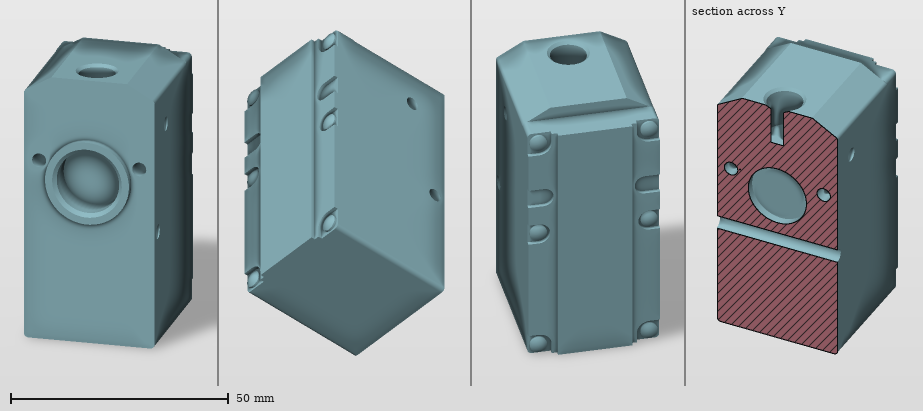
import cadquery as cq
import math

width = 31.05
height = 64.0
half_width = width / 2
corner_radius = 1.0

housing_depth = 28.0
crown_width = 18.0
shoulder_angle = 30.0

cover_depth = 6.0
cover_height = 60.85
pad_width = 17.5
pad_thickness = 1.0
cover_back = housing_depth + cover_depth

port_height = 39.55
collar_diameter = 20.0
collar_length = 2.0
port_diameter = 14.85
port_mouth_diameter = 16.6
port_depth = 5.0

top_port_y = 7.0
top_port_diameter = 8.5
top_port_mouth_diameter = 9.85
top_port_depth = 10.0

small_hole_diameter = 3.3
pin_hole_offset = 11.9
pin_hole_height = 43.45
pin_hole_depth = 6.0
cross_holes = [(10.0, 51.45), (3.0, 27.5)]

recess_depth = 1.0
corner_recess_radius = 3.0
middle_recess_radius = 2.6
plain_recess_radius = 2.4

screw_inset = 2.5
screw_offset = half_width - screw_inset
middle_screw_height = 33.55
screw_diameter = 4.0
screw_rim = 0.6
screw_height = 1.3


def make_housing():
    """Block with sloped shoulders; its four long side edges are rounded."""
    crown_half = crown_width / 2
    shoulder_z = height - (half_width - crown_half) * math.tan(math.radians(shoulder_angle))
    block = (
        cq.Workplane("XZ")
        .moveTo(-half_width, 0)
        .lineTo(half_width, 0)
        .lineTo(half_width, shoulder_z)
        .lineTo(crown_half, height)
        .lineTo(-crown_half, height)
        .lineTo(-half_width, shoulder_z)
        .close()
        .extrude(-housing_depth)
    )
    side_edges = block.faces("<X or >X").edges("|Y")
    return block.newObject(side_edges.vals()).fillet(corner_radius)


def make_cover():
    """Rounded rectangular plate with a full-height pad on its back."""
    plate = (
        cq.Workplane("XY")
        .box(width, cover_depth, cover_height, centered=(True, False, False))
        .edges("|Y")
        .fillet(corner_radius)
    )
    pad = cq.Workplane("XY").box(
        pad_width, cover_depth + pad_thickness, cover_height, centered=(True, False, False)
    )
    return plate.union(pad).translate((0, housing_depth, 0))


def along_y(diameter, x, z, start, end):
    """Cylinder parallel to Y."""
    axis = cq.Vector(0, 1, 0)
    return cq.Workplane(cq.Solid.makeCylinder(diameter / 2, end - start, cq.Vector(x, start, z), axis))


def mouth_cone(mouth_diameter, bore_diameter, origin, direction):
    """45 degree countersink leading into a bore."""
    depth = (mouth_diameter - bore_diameter) / 2
    cone = cq.Solid.makeCone(
        mouth_diameter / 2, bore_diameter / 2, depth, cq.Vector(*origin), cq.Vector(*direction)
    )
    return cq.Workplane(cone)


def side_recess(side, z, end_radius, center_offset):
    """Round-ended slot running from center_offset out through one side of the cover."""
    recess_floor = cover_back - recess_depth
    end = along_y(2 * end_radius, side * center_offset, z, recess_floor, cover_back)
    channel = cq.Workplane("XY").box(half_width, recess_depth, 2 * end_radius).translate(
        (side * (center_offset + half_width / 2), recess_floor + recess_depth / 2, z)
    )
    return end.union(channel)


def corner_recess(side, z, outward):
    """Side recess that also opens through the top (outward = 1) or bottom (-1) of the cover."""
    reach = screw_inset + corner_recess_radius
    opening_height = 2 * screw_inset
    opening = cq.Workplane("XY").box(reach, recess_depth, opening_height).translate((
        side * (half_width - reach / 2),
        cover_back - recess_depth / 2,
        z + outward * opening_height / 2,
    ))
    return side_recess(side, z, corner_recess_radius, screw_offset).union(opening)


def make_screw(x, z):
    """Screw head: a cylindrical rim under a shallow dome, standing on the recess floor."""
    radius = screw_diameter / 2
    rise = screw_height - screw_rim
    sphere_radius = (radius**2 + rise**2) / (2 * rise)
    mid_angle = math.asin(radius / sphere_radius) / 2
    mid_drop = sphere_radius * (1 - math.cos(mid_angle))
    head = (
        cq.Workplane("XY")
        .lineTo(radius, 0)
        .lineTo(radius, screw_rim)
        .threePointArc(
            (sphere_radius * math.sin(mid_angle), screw_height - mid_drop), (0, screw_height)
        )
        .close()
        .revolve(360, (0, 0), (0, 1))
    )
    return head.translate((x, cover_back - recess_depth, z))


body = make_housing().union(make_cover())

body = body.union(along_y(collar_diameter, 0, port_height, -collar_length, 0))
body = body.cut(along_y(port_diameter, 0, port_height, -collar_length, port_depth))
body = body.cut(
    mouth_cone(port_mouth_diameter, port_diameter, (0, -collar_length, port_height), (0, 1, 0))
)

top_port = (
    cq.Workplane("XY")
    .center(0, top_port_y)
    .circle(top_port_diameter / 2)
    .extrude(-top_port_depth)
    .translate((0, 0, height))
)
body = body.cut(top_port)
body = body.cut(
    mouth_cone(top_port_mouth_diameter, top_port_diameter, (0, top_port_y, height), (0, 0, -1))
)

for side in (-1, 1):
    body = body.cut(
        along_y(small_hole_diameter, side * pin_hole_offset, pin_hole_height, 0, pin_hole_depth)
    )
body = body.cut(
    cq.Workplane("YZ")
    .pushPoints(cross_holes)
    .circle(small_hole_diameter / 2)
    .extrude(half_width, both=True)
)

top_screw_height = cover_height - screw_inset
for side in (-1, 1):
    body = body.cut(corner_recess(side, top_screw_height, 1))
    body = body.cut(corner_recess(side, screw_inset, -1))
    body = body.cut(side_recess(side, middle_screw_height, middle_recess_radius, screw_offset))
    body = body.cut(side_recess(side, pin_hole_height, plain_recess_radius, pin_hole_offset))
    for screw_z in (top_screw_height, middle_screw_height, screw_inset):
        body = body.union(make_screw(side * screw_offset, screw_z))

result = body